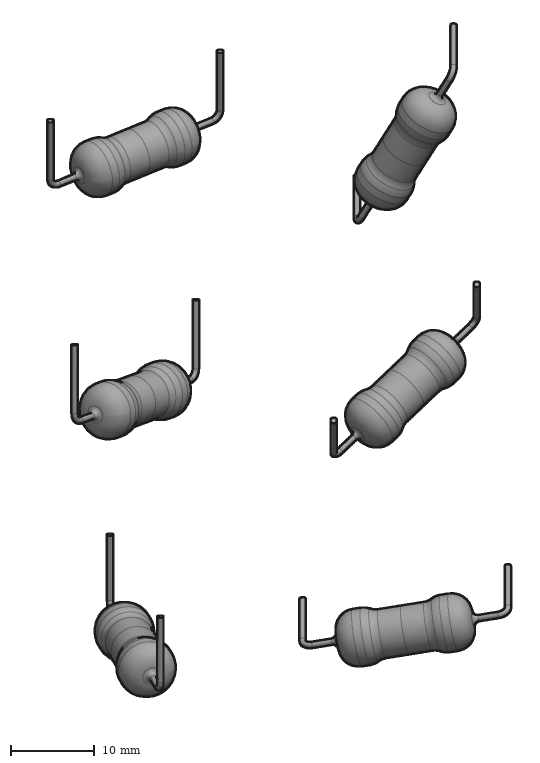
import cadquery as cq

overall_length = 25.8
lead_diameter = 0.8
cap_diameter = 7.0
waist_diameter = 5.95
body_length = 16.5
end_round_radius = 2.4
cap_inner_end = 4.82
waist_end = 2.8
flare_length = 0.7
lead_bend_radius = 1.19
lead_top = 9.61

lead_radius = lead_diameter / 2
cap_radius = cap_diameter / 2
waist_radius = waist_diameter / 2
body_end = body_length / 2
cap_outer_end = body_end - end_round_radius
end_face_radius = cap_radius - end_round_radius
flare_end = body_end + flare_length
lead_y = overall_length / 2 - lead_radius

shoulder_y = (cap_inner_end + waist_end) / 2
shoulder_radius = (cap_radius + waist_radius) / 2


def make_half_body():
    """Revolve the +Y half of the body, including its collar, about the Y axis."""
    profile = (
        cq.Workplane("XY")
        .lineTo(waist_radius, 0)
        .lineTo(waist_radius, waist_end)
        .tangentArcPoint((shoulder_radius, shoulder_y), relative=False)
        .tangentArcPoint((cap_radius, cap_inner_end), relative=False)
        .lineTo(cap_radius, cap_outer_end)
        .tangentArcPoint((end_face_radius, body_end), relative=False)
        .tangentArcPoint((lead_radius, flare_end), relative=False)
        .lineTo(0, flare_end)
        .close()
    )
    return profile.revolve(360, (0, 0), (0, 1))


def make_lead():
    """Sweep the +Y lead from inside the body out to its upright tip."""
    path = (
        cq.Workplane("YZ")
        .moveTo(body_end, 0)
        .lineTo(lead_y - lead_bend_radius, 0)
        .tangentArcPoint((lead_y, lead_bend_radius), relative=False)
        .lineTo(lead_y, lead_top)
    )
    section = cq.Workplane("XZ", origin=(0, body_end, 0)).circle(lead_radius)
    return section.sweep(path)


half_resistor = make_half_body().union(make_lead())
result = half_resistor.union(half_resistor.mirror("XZ"))